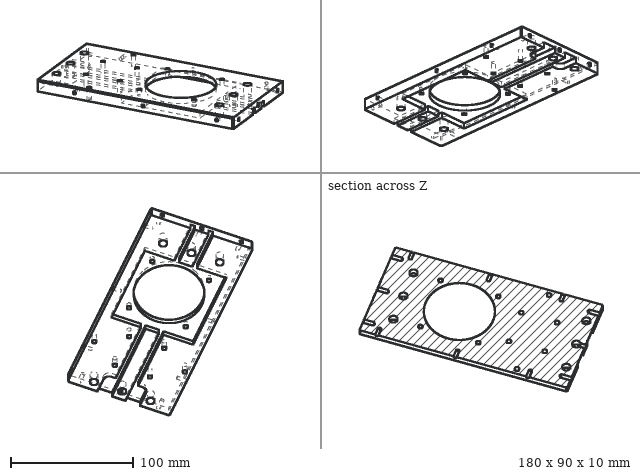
import cadquery as cq
import math

length = 180.0
width = 90.0
thickness = 10.0
edge_chamfer = 1.0

fan_x = 18.9
fan_opening_diameter = 58.0
fan_recess_side = 72.0
fan_screw_offset = 25.0
recess_depth = thickness / 2

screw_diameter = 3.5
mount_diameter = 6.5
mount_x_positions = (-82.3, 67.3)
mount_spacing = fan_screw_offset
pattern_x = -44.8
pattern_offset = 15.5
outer_screw_y = 40.0

long_side_hole_diameter = 2.5
long_side_hole_x_positions = (-55.8, 7.0, 74.7)
end_hole_diameter = 3.0
end_hole_spacing = 35.0
long_side_hole_depth = 7.2
end_hole_depth = 9.0
drill_point_angle = 118.0
side_hole_z = thickness / 2

channel_inner_y = 6.0
channel_width = 4.0
mouth_width = 12.8
mouth_length = 18.0
mouth_corner_radius = 5.0


def make_plate():
    plate = cq.Workplane("XY").box(length, width, thickness, centered=(True, True, False))
    plate = plate.edges("|Z").chamfer(edge_chamfer)
    return plate.faces(">Z").edges("<Y or >Y").chamfer(edge_chamfer)


def through_holes(points, diameter):
    return cq.Workplane("XY").pushPoints(points).circle(diameter / 2).extrude(thickness)


def corner_points(center_x, offset):
    return [(center_x + sx * offset, sy * offset) for sx in (-1, 1) for sy in (-1, 1)]


def underside_box(x_start, x_end, y_start, y_end):
    box = cq.Workplane("XY").box(x_end - x_start, y_end - y_start, recess_depth, centered=False)
    return box.translate((x_start, y_start, 0))


def cable_channel():
    """Narrow full-length channel with a wide mouth at the -X end."""
    channel = underside_box(-length / 2, length / 2, channel_inner_y, channel_inner_y + channel_width)
    mouth = underside_box(
        -length / 2, -length / 2 + mouth_length, channel_inner_y, channel_inner_y + mouth_width
    )
    mouth = mouth.edges("|Z and >X and >Y").fillet(mouth_corner_radius)
    return channel.union(mouth)


def drilled_hole(diameter, depth, position, direction):
    """Blind hole with a conical drill point beyond its full-diameter depth."""
    radius = diameter / 2
    start = cq.Vector(*position)
    axis = cq.Vector(*direction)
    point_length = radius / math.tan(math.radians(drill_point_angle / 2))
    bore = cq.Solid.makeCylinder(radius, depth, start, axis)
    point = cq.Solid.makeCone(radius, 0, point_length, start + axis * depth, axis)
    return cq.Workplane("XY").add(bore.fuse(point))


result = make_plate()

half_recess = fan_recess_side / 2
result = result.cut(through_holes([(fan_x, 0)], fan_opening_diameter))
result = result.cut(underside_box(fan_x - half_recess, fan_x + half_recess, -half_recess, half_recess))

screw_points = corner_points(fan_x, fan_screw_offset) + corner_points(pattern_x, pattern_offset)
screw_points += [(pattern_x, -outer_screw_y), (pattern_x, outer_screw_y)]
mount_points = [(x, row * mount_spacing) for x in mount_x_positions for row in (-1, 0, 1)]
result = result.cut(through_holes(screw_points, screw_diameter))
result = result.cut(through_holes(mount_points, mount_diameter))

result = result.cut(cable_channel()).cut(cable_channel().mirror("XZ"))

for side in (-1, 1):
    for x in long_side_hole_x_positions:
        start = (x, side * width / 2, side_hole_z)
        result = result.cut(drilled_hole(long_side_hole_diameter, long_side_hole_depth, start, (0, -side, 0)))
    for row in (-1, 0, 1):
        start = (side * length / 2, row * end_hole_spacing, side_hole_z)
        result = result.cut(drilled_hole(end_hole_diameter, end_hole_depth, start, (-side, 0, 0)))